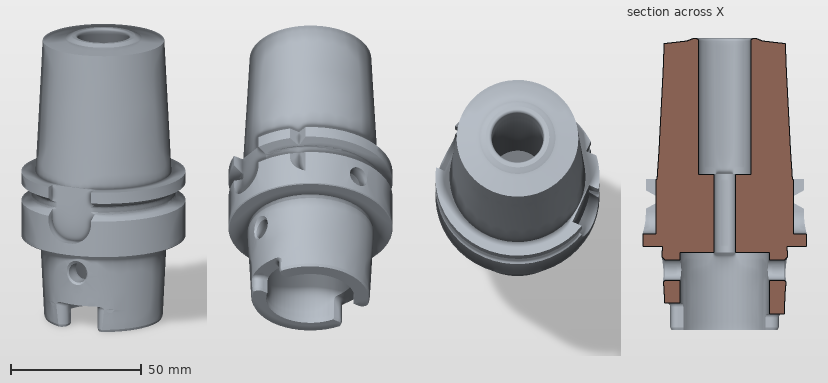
import cadquery as cq
import math


nose_top = 79.9
shank_length = 32.0

nose_base_radius = 26.1
nose_taper = 3.0
nose_edge_height = 78.0
crown_radius = 14.5
crown_height = 79.0
collar_radius = 12.2
bore_radius = 10.0
bore_depth = 52.0
bore_lip = 1.0
coolant_radius = 4.0

flange_radius = 31.5
flange_height = 26.0
flange_chamfer = 0.3
groove_middle = 18.0
groove_mouth = 7.0
groove_floor_radius = 27.5
groove_angle = 30.0
groove_fillet = 0.7

slot_end_height = 13.0
slot_end_radius = 8.0
wide_slot_width = 18.0
narrow_slot_width = 2 * slot_end_radius
drive_slot_floor = 26.5
notch_wall = 20.0

dimple_height = 7.2
dimple_radius = 4.0
dimple_depth = 5.0
drill_tip_angle = 118.0

taper_ratio = 1 / 20
shank_top_radius = 24.23
neck_radius = 24.0
neck_length = 1.1
shank_top = 1.9
tip_chamfer_height = 1.0
tip_chamfer_width = 0.5
shank_bore_radius = 17.0
shank_bore_top = 2.2

cross_hole_depth = 9.0
cross_hole_radius = 3.8
cross_hole_mouth_radius = 4.8

keyway_width = 12.5
keyway_corner = 1.5
keyway_inner = 13.4
keyway_flat = 20.8
keyway_flat_half_width = 10.3
keyway_edge_radius = 2.9
keyway_relief_angle = 32.0
keyway_half_span = 19.0
front_keyway_top = -21.7
back_keyway_top = -25.8


arc_middle = 1 - math.sqrt(0.5)


def shank_radius(depth):
    """Outer radius of the taper at a depth below the flange."""
    return shank_top_radius - (depth - shank_top) * taper_ratio


def revolved_body():
    """Nose, flange and shank turned as one solid profile."""
    chamfer_depth = shank_length - tip_chamfer_height
    nose_draft = (nose_edge_height - flange_height) * math.tan(math.radians(nose_taper))
    mouth_top = groove_middle + groove_mouth / 2
    mouth_bottom = groove_middle - groove_mouth / 2
    wall_radius = groove_floor_radius + groove_fillet
    wall_height = (flange_radius - wall_radius) * math.tan(math.radians(groove_angle))
    wall_bottom = mouth_bottom + wall_height
    wall_top = mouth_top - wall_height
    arc_inset = groove_fillet * arc_middle
    arc_radius = groove_floor_radius + arc_inset
    profile = (
        cq.Workplane("XZ")
        .moveTo(0, -shank_length)
        .lineTo(shank_radius(chamfer_depth) - tip_chamfer_width, -shank_length)
        .lineTo(shank_radius(chamfer_depth), -chamfer_depth)
        .lineTo(shank_top_radius, -shank_top)
        .lineTo(neck_radius, -neck_length)
        .lineTo(neck_radius, 0)
        .lineTo(flange_radius - flange_chamfer, 0)
        .lineTo(flange_radius, flange_chamfer)
        .lineTo(flange_radius, mouth_bottom)
        .lineTo(wall_radius, wall_bottom)
        .threePointArc((arc_radius, wall_bottom + arc_inset), (groove_floor_radius, wall_bottom + groove_fillet))
        .lineTo(groove_floor_radius, wall_top - groove_fillet)
        .threePointArc((arc_radius, wall_top - arc_inset), (wall_radius, wall_top))
        .lineTo(flange_radius, mouth_top)
        .lineTo(flange_radius, flange_height)
        .lineTo(nose_base_radius, flange_height)
        .lineTo(nose_base_radius - nose_draft, nose_edge_height)
        .lineTo(crown_radius, crown_height)
        .lineTo(collar_radius, nose_top)
        .lineTo(0, nose_top)
        .close()
    )
    return profile.revolve(360, (0, 0, 0), (0, 1, 0))


def axial_bores():
    """Tool bore from the top, coolant passage, and hollow of the shank."""
    bore_bottom = nose_top - bore_depth
    lip_inset = bore_lip * arc_middle
    profile = (
        cq.Workplane("XZ")
        .moveTo(0, -shank_length)
        .lineTo(shank_bore_radius, -shank_length)
        .lineTo(shank_bore_radius, -shank_bore_top)
        .lineTo(coolant_radius, -shank_bore_top)
        .lineTo(coolant_radius, bore_bottom)
        .lineTo(bore_radius, bore_bottom)
        .lineTo(bore_radius, nose_top - bore_lip)
        .threePointArc((bore_radius + lip_inset, nose_top - lip_inset), (bore_radius + bore_lip, nose_top))
        .lineTo(0, nose_top)
        .close()
    )
    return profile.revolve(360, (0, 0, 0), (0, 1, 0))


def flange_slot(width, center_x, y_start, y_end):
    """Slot open at the flange top, running along Y, with a round or round-cornered lower end."""
    length = y_end - y_start
    corner_offset = width / 2 - slot_end_radius
    slot = cq.Workplane("XY").box(
        width, length, flange_height - slot_end_height, centered=(True, False, False)
    )
    for side in (-1, 1):
        round_end = cq.Workplane("XZ").center(side * corner_offset, 0).circle(slot_end_radius).extrude(-length)
        slot = slot.union(round_end)
    if corner_offset > 0:
        slot = slot.union(
            cq.Workplane("XY")
            .box(2 * corner_offset, length, slot_end_radius, centered=(True, False, False))
            .translate((0, 0, -slot_end_radius))
        )
    return slot.translate((center_x, y_start, slot_end_height))


def flange_slots():
    rim = flange_radius + 1.1
    wide = flange_slot(wide_slot_width, 0, -rim, -drive_slot_floor)
    narrow = flange_slot(narrow_slot_width, 0, drive_slot_floor, rim)
    notch_center = -notch_wall - narrow_slot_width / 2
    notch = flange_slot(narrow_slot_width, notch_center, notch_wall, rim)
    return wide.union(narrow).union(notch)


def rim_dimple():
    """Drilled blind hole with a conical end, entering from -X."""
    tip_length = dimple_radius / math.tan(math.radians(drill_tip_angle / 2))
    floor_x = -flange_radius + dimple_depth
    profile = [
        (-flange_radius - 1.1, 0),
        (-flange_radius - 1.1, dimple_radius),
        (floor_x, dimple_radius),
        (floor_x + tip_length, 0),
    ]
    hole = cq.Workplane("XY").polyline(profile).close().revolve(360, (0, 0, 0), (1, 0, 0))
    return hole.translate((0, 0, dimple_height))


def half_cross_hole():
    """Radial hole through the +Y shank wall with a countersunk outer mouth."""
    mouth = shank_radius(cross_hole_depth)
    overshoot = 1.1
    countersink_depth = cross_hole_mouth_radius - cross_hole_radius
    profile = [
        (0, 0),
        (0, -cross_hole_radius),
        (mouth - countersink_depth, -cross_hole_radius),
        (mouth + overshoot, -cross_hole_mouth_radius - overshoot),
        (mouth + overshoot, 0),
    ]
    hole = cq.Workplane("YZ").polyline(profile).close().revolve(360, (0, 0, 0), (1, 0, 0))
    return hole.translate((0, 0, -cross_hole_depth))


def keyway_outline():
    """Closed plan of the +Y cut: slot, rounded edges, flats and the fall-back beyond them."""
    half = keyway_width / 2
    flare_start = keyway_flat - keyway_edge_radius
    flare_inset = keyway_edge_radius * arc_middle
    flare_middle = (half + flare_inset, keyway_flat - flare_inset)
    flare_end = half + keyway_edge_radius
    relief_drop = (keyway_half_span - keyway_flat_half_width) * math.tan(math.radians(keyway_relief_angle))
    outside = shank_top_radius + 2 * keyway_corner
    half_outline = (
        cq.Workplane("XY")
        .moveTo(0, keyway_inner)
        .lineTo(half, keyway_inner)
        .lineTo(half, flare_start)
        .threePointArc(flare_middle, (flare_end, keyway_flat))
        .lineTo(keyway_flat_half_width, keyway_flat)
        .lineTo(keyway_half_span, keyway_flat - relief_drop)
        .lineTo(keyway_half_span, outside)
        .lineTo(0, outside)
    )
    return half_outline.mirrorY()


def keyway(top):
    """Cut through the +Y shank wall with a filleted ceiling and walls chamfered at the open end."""
    chamfer_angle = math.degrees(math.atan2(tip_chamfer_width, tip_chamfer_height))
    chamfer_top = tip_chamfer_height - shank_length
    channel = keyway_outline().extrude(top - chamfer_top)
    channel = channel.faces(">Z").edges().fillet(keyway_corner)
    chamfer = keyway_outline().extrude(-tip_chamfer_height, taper=-chamfer_angle)
    return channel.union(chamfer).translate((0, 0, chamfer_top))


def turned_to_front(cutter):
    """The same cutter on the opposite, -Y side."""
    return cutter.rotate((0, 0, 0), (0, 0, 1), 180)


result = (
    revolved_body()
    .cut(axial_bores())
    .cut(flange_slots())
    .cut(rim_dimple())
    .cut(half_cross_hole())
    .cut(turned_to_front(half_cross_hole()))
    .cut(keyway(back_keyway_top))
    .cut(turned_to_front(keyway(front_keyway_top)))
)